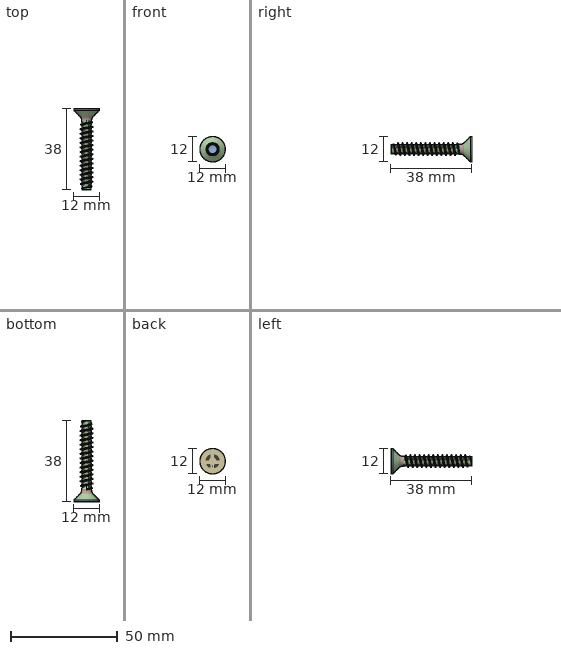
import cadquery as cq
import math

screw_length = 38.0
head_radius = 6.0
rim_thickness = 0.85
countersink_angle = 45.0
shank_radius = 2.4
neck_fillet = 2.45
shank_end = 5.95
core_radius = 2.13
core_start = 6.88
tip_dish_depth = 0.25

crest_radius = 3.05
crest_half_width = 0.057
foot_radius = 2.35
foot_half_width = 0.3
front_root_offset = 0.55
rear_root_offset = 1.5
root_radius = 2.1
buried_radius = 1.9
full_turns = 12.5
full_start = 8.0
full_end = 34.75
run_in_turns = 1.0
run_in_crest_radius = 2.6
run_out_turns = 1.5
run_out_crest_radius = 2.15
run_out_foot_radius = 2.13
run_out_foot_half_width = 0.1
full_start_angle = -90.0

pitch = (full_end - full_start) / full_turns
points_per_turn = 16

overrun = 2 * pitch
envelope_radius = 2 * head_radius


def make_blank():
    """Head, neck, shank and thread core turned as one body, overlong at the tip."""
    slope = math.radians(countersink_angle)
    fillet_drop = neck_fillet * (1 - math.cos(slope))
    cone_end_radius = shank_radius + fillet_drop
    cone_end = rim_thickness + (head_radius - cone_end_radius) / math.tan(slope)
    fillet_end = cone_end + neck_fillet * math.sin(slope)
    fillet_mid = (
        shank_radius + neck_fillet * (1 - math.cos(slope / 2)),
        -(fillet_end - neck_fillet * math.sin(slope / 2)),
    )
    return (
        cq.Workplane("XY")
        .lineTo(head_radius, 0)
        .lineTo(head_radius, -rim_thickness)
        .lineTo(cone_end_radius, -cone_end)
        .threePointArc(fillet_mid, (shank_radius, -fillet_end))
        .lineTo(shank_radius, -shank_end)
        .lineTo(core_radius, -core_start)
        .lineTo(core_radius, -screw_length - overrun)
        .lineTo(0, -screw_length - overrun)
        .close()
        .revolve(360, (0, 0, 0), (0, 1, 0))
    )


thread_stations = [
    (-run_in_turns, run_in_crest_radius, foot_radius, foot_half_width),
    (0, crest_radius, foot_radius, foot_half_width),
    (full_turns, crest_radius, foot_radius, foot_half_width),
    (full_turns + run_out_turns, run_out_crest_radius, run_out_foot_radius, run_out_foot_half_width),
]


def thread_section(station):
    """Points of the thread section, listed from its head side to its tip side."""
    turn, crest, foot, half_width = station
    angle = math.radians(full_start_angle) + 2 * math.pi * turn
    corners = [
        (-front_root_offset, buried_radius),
        (-front_root_offset, root_radius),
        (-half_width, foot),
        (-crest_half_width, crest),
        (crest_half_width, crest),
        (half_width, foot),
        (rear_root_offset, root_radius),
        (rear_root_offset, buried_radius),
    ]
    points = []
    for offset, radius in corners:
        depth = full_start + pitch * turn + offset
        points.append(cq.Vector(radius * math.cos(angle), -depth, radius * math.sin(angle)))
    return points


def thread_stretch(first, last):
    """Helical faces of the thread between two stations."""
    steps = round((last[0] - first[0]) * points_per_turn)
    sections = []
    for step in range(steps + 1):
        share = step / steps
        sections.append(thread_section([a + share * (b - a) for a, b in zip(first, last)]))
    helices = [cq.Edge.makeSpline(list(points)) for points in zip(*sections)]
    neighbours = helices[1:] + helices[:1]
    return [cq.Face.makeRuledSurface(edge, neighbour) for edge, neighbour in zip(helices, neighbours)]


def thread_end(station):
    """Flat face closing the thread at a station."""
    return cq.Face.makeFromWires(cq.Wire.makePolygon(thread_section(station), close=True))


def make_thread():
    """Right-hand thread that rises at the shank and fades into the core at the tip."""
    faces = [thread_end(thread_stations[0]), thread_end(thread_stations[-1])]
    for first, last in zip(thread_stations, thread_stations[1:]):
        faces += thread_stretch(first, last)
    return cq.Workplane(cq.Solid.makeSolid(cq.Shell.makeShell(faces)))


def make_envelope():
    """Revolved space that ends at the tip with a shallow conical dish."""
    return (
        cq.Workplane("XY")
        .moveTo(0, overrun)
        .lineTo(envelope_radius, overrun)
        .lineTo(envelope_radius, -screw_length)
        .lineTo(core_radius, -screw_length)
        .lineTo(0, tip_dish_depth - screw_length)
        .close()
        .revolve(360, (0, 0, 0), (0, 1, 0))
    )


screw = make_blank().union(make_thread()).intersect(make_envelope())
result = cq.Workplane(screw.val().Solids()[0])